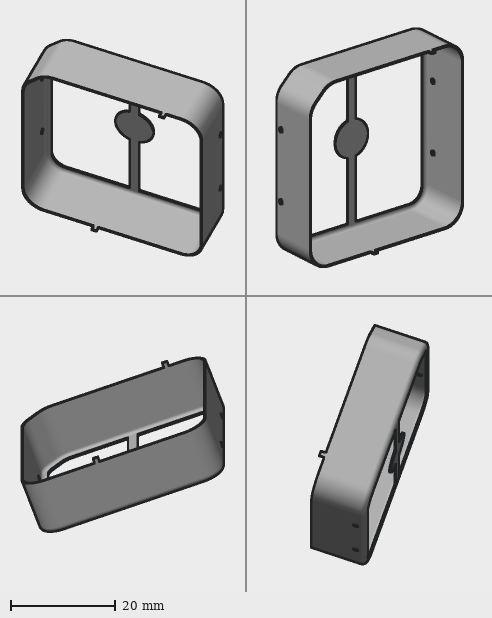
import cadquery as cq

width = 37.6
height = 38.4
total_depth = 12.0
tab_length = 1.0
depth = total_depth - tab_length

wall = 0.3
corner_radius = 4.5
corner_cut = corner_radius
back_edge_radius = 1.0
rim_width = 1.5

bar_width = 2.0
disc_diameter = 8.0
junction_radius = 0.2

hole_diameter = 1.0
hole_from_back = 2.0
hole_spacing = 15.05

tab_width = 1.0
top_tab_x = 10.75
bottom_tab_x = -3.38


def outer_block():
    """Solid rounded block with one bevelled corner and a rounded back edge."""
    block = cq.Workplane("XY").box(width, depth, height).translate((0, depth / 2, 0))
    block = block.edges("|Y and <X and >Z").chamfer(corner_cut)
    block = block.edges("|Y").fillet(corner_radius)
    return block.faces(">Y").edges().fillet(back_edge_radius)


def back_opening(outline):
    """Opening through the back, leaving a rim, a vertical bar and a disc."""
    opening = (
        cq.Workplane("XZ").add(outline).toPending().offset2D(-rim_width).extrude(-depth)
    )
    bar = cq.Workplane("XY").box(bar_width, 2 * depth, height).translate((0, depth, 0))
    disc = cq.Workplane("XZ").circle(disc_diameter / 2).extrude(-2 * depth)
    opening = opening.cut(bar).cut(disc)
    half_bar = bar_width / 2 + junction_radius
    beside_bar = cq.selectors.BoxSelector(
        (-half_bar, -depth, -height), (half_bar, 2 * depth, height)
    )
    return opening.edges("|Y").edges(beside_bar).fillet(junction_radius)


def pin_holes():
    """Two cylinders along X that cross both side walls."""
    centres = [(depth - hole_from_back, side * hole_spacing / 2) for side in (-1, 1)]
    return cq.Workplane("YZ").pushPoints(centres).circle(hole_diameter / 2).extrude(width, both=True)


def tab(x, side):
    """Tab flush with the outside of the top (side = 1) or bottom (side = -1) wall."""
    length = tab_length + wall
    z = side * (height - wall) / 2
    return cq.Workplane("XY").box(tab_width, length, wall).translate((x, wall - length / 2, z))


block = outer_block()
front_outline = block.faces("<Y").val().outerWire()

result = block.faces("<Y").shell(-wall)
result = result.cut(back_opening(front_outline))
result = result.cut(pin_holes())
result = result.union(tab(top_tab_x, 1)).union(tab(bottom_tab_x, -1))